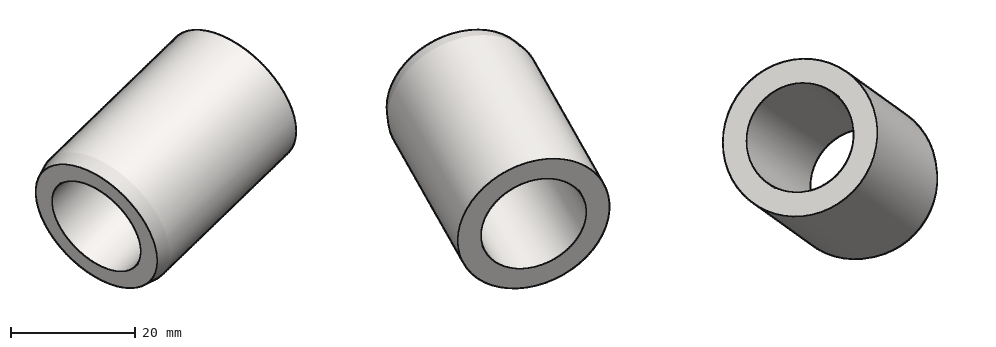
import cadquery as cq

length = 36.0
outer_diameter = 26.0
bore_diameter = 18.0
lead_in_length = 2.4
lead_in_depth = 0.65

outer_radius = outer_diameter / 2
bore_radius = bore_diameter / 2

wall_section = (
    cq.Workplane("XY")
    .moveTo(bore_radius, 0)
    .lineTo(outer_radius - lead_in_depth, 0)
    .lineTo(outer_radius, lead_in_length)
    .lineTo(outer_radius, length)
    .lineTo(bore_radius, length)
    .close()
)

result = wall_section.revolve(360, (0, 0, 0), (0, 1, 0))